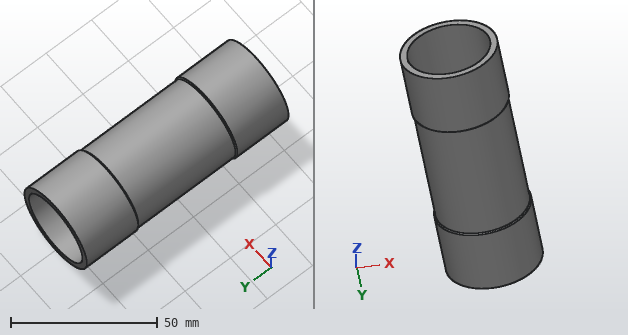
import cadquery as cq

length = 89.0
collar_diameter = 34.0
waist_diameter = 33.0
bore_diameter = 29.0

collar_length = 22.6
taper_length = (collar_diameter - waist_diameter) / 2

collar_radius = collar_diameter / 2
waist_radius = waist_diameter / 2
bore_radius = bore_diameter / 2
half_length = length / 2
collar_inner_end = half_length - collar_length
waist_end = collar_inner_end - taper_length

wall_section = (
    cq.Workplane("XY")
    .moveTo(bore_radius, -half_length)
    .lineTo(collar_radius, -half_length)
    .lineTo(collar_radius, -collar_inner_end)
    .lineTo(waist_radius, -waist_end)
    .lineTo(waist_radius, waist_end)
    .lineTo(collar_radius, collar_inner_end)
    .lineTo(collar_radius, half_length)
    .lineTo(bore_radius, half_length)
    .close()
)

result = wall_section.revolve(360, (0, 0, 0), (0, 1, 0))